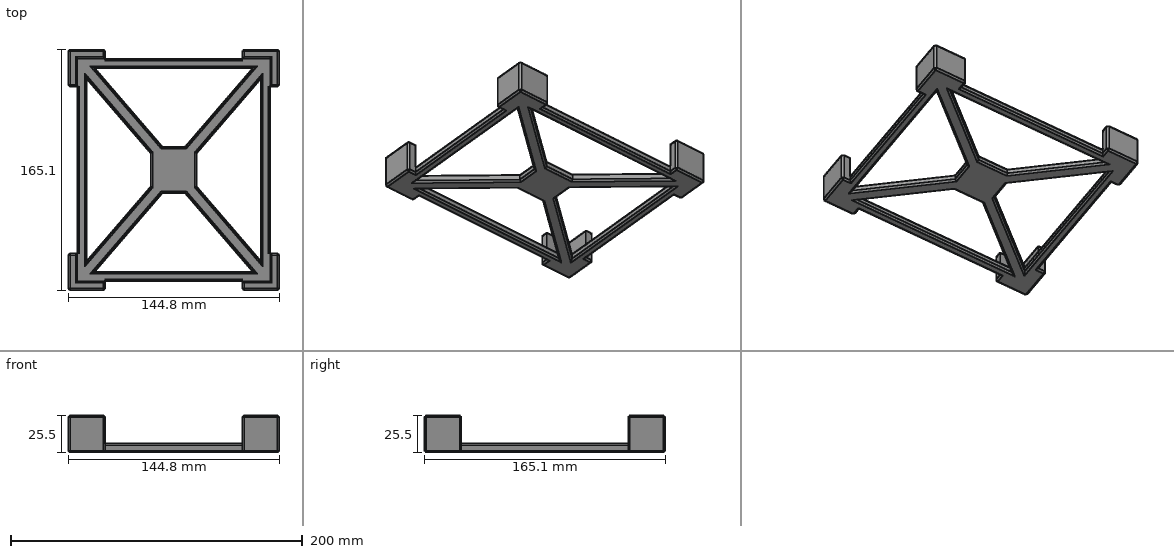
import cadquery as cq
import math

LENGTH = 165.1
WIDTH = 144.8
HEIGHT = 25.5

WALL = HEIGHT / 4
LEG = HEIGHT

FRAME_HEIGHT = WALL
RAIL = WALL
BRACE_WIDTH = 8.9
PAD = 31.7

CHAMFER = 1.3

FRAME_WIDTH = WIDTH - 2 * WALL
FRAME_LENGTH = LENGTH - 2 * WALL

TOLERANCE = 0.02


def block(width, length, height):
    """Box standing on Z = 0 and centred on the Z axis."""
    return cq.Workplane("XY").box(width, length, height, centered=(True, True, False))


def frame():
    """Rectangle of rails, and a square centre pad braced to where the rail centrelines cross."""
    opening = block(FRAME_WIDTH - 2 * RAIL, FRAME_LENGTH - 2 * RAIL, FRAME_HEIGHT)
    brace_length = math.hypot(FRAME_WIDTH, FRAME_LENGTH)
    angle = math.degrees(math.atan2(FRAME_LENGTH - RAIL, FRAME_WIDTH - RAIL))
    opening = opening.cut(block(PAD, PAD, FRAME_HEIGHT))
    for turn in (angle, -angle):
        brace = block(brace_length, BRACE_WIDTH, FRAME_HEIGHT).rotate((0, 0, 0), (0, 0, 1), turn)
        opening = opening.cut(brace)
    return block(FRAME_WIDTH, FRAME_LENGTH, FRAME_HEIGHT).cut(opening)


def bracket(sx, sy):
    """L-shaped wall around the corner on the (sx, sy) side."""
    outer_x, outer_y = sx * WIDTH / 2, sy * LENGTH / 2
    inner_x, inner_y = outer_x - sx * WALL, outer_y - sy * WALL
    end_x, end_y = outer_x - sx * LEG, outer_y - sy * LEG
    outline = [
        (outer_x, outer_y),
        (end_x, outer_y),
        (end_x, inner_y),
        (inner_x, inner_y),
        (inner_x, end_y),
        (outer_x, end_y),
    ]
    return cq.Workplane("XY").polyline(outline).close().extrude(HEIGHT)


def is_chamfered(edge):
    """True for the convex edges, apart from the upright inner edges at the bracket ends."""
    center = edge.Center()
    x, y = abs(center.x), abs(center.y)
    if edge.BoundingBox().zlen > TOLERANCE:
        return x > WIDTH / 2 - TOLERANCE or y > LENGTH / 2 - TOLERANCE
    if abs(center.z - FRAME_HEIGHT) < TOLERANCE:
        meets_wall = x > WIDTH / 2 - LEG and y > LENGTH / 2 - LEG
        return not meets_wall
    return True


part = frame()
for side_x in (-1, 1):
    for side_y in (-1, 1):
        part = part.union(bracket(side_x, side_y))

edges = [edge for edge in part.edges().vals() if is_chamfered(edge)]
result = part.newObject(edges).chamfer(CHAMFER)